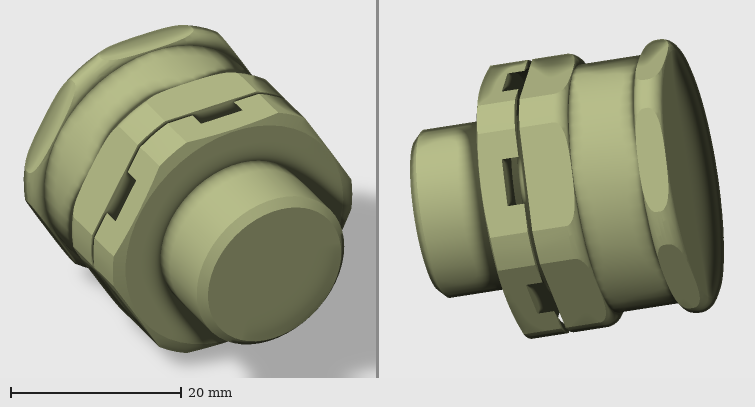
import cadquery as cq
import math

across_flats = 30.0
corner_dia = 32.47
barrel_dia = 29.5
corner_rounding = (corner_dia - barrel_dia) / 2

head_length = 3.4
barrel_end = 11.35

collar_end = 16.98
spigot_dia = 20.0
spigot_end = 32.0
spigot_chamfer = 0.97

nut_start = 17.55
nut_end = 22.55
nut_chamfer_length = 0.45
nut_chamfer_depth = corner_rounding
counterbore_dia = 30.52
counterbore_depth = 2.0

seal_dia = 25.4
seal_end = 18.48
seal_section_dia = (seal_dia - spigot_dia) / 2
seal_start = seal_end - seal_section_dia


def cylinder(diameter, start, end):
    return cq.Workplane("YZ").workplane(offset=start).circle(diameter / 2).extrude(end - start)


def hexagon(start, end):
    across_corners = across_flats / math.cos(math.pi / 6)
    return cq.Workplane("YZ").workplane(offset=start).polygon(6, across_corners).extrude(end - start)


def make_cap():
    turned_head = cylinder(corner_dia, 0, head_length).edges("%CIRCLE").fillet(corner_rounding)
    head = hexagon(0, head_length).intersect(turned_head)
    return head.union(cylinder(barrel_dia, head_length, barrel_end))


def make_fitting():
    turned_collar = cylinder(corner_dia, barrel_end, collar_end).faces("<X").edges().fillet(corner_rounding)
    collar = hexagon(barrel_end, collar_end).intersect(turned_collar)
    seal_recess = cylinder(seal_dia, seal_start, collar_end)
    spigot = cylinder(spigot_dia, seal_start, spigot_end).faces(">X").edges().chamfer(spigot_chamfer)
    return collar.cut(seal_recess).union(spigot)


def make_lock_nut():
    radius = corner_dia / 2
    turned_nut = (
        cq.Workplane("XY")
        .moveTo(nut_start, 0)
        .lineTo(nut_start, radius)
        .lineTo(nut_end - nut_chamfer_length, radius)
        .lineTo(nut_end, radius - nut_chamfer_depth)
        .lineTo(nut_end, 0)
        .close()
        .revolve(360, (0, 0, 0), (1, 0, 0))
    )
    counterbore = cylinder(counterbore_dia, nut_start, nut_start + counterbore_depth)
    bore = cylinder(spigot_dia, nut_start, nut_end)
    return hexagon(nut_start, nut_end).intersect(turned_nut).cut(counterbore).cut(bore)


def make_seal():
    section_center = ((seal_start + seal_end) / 2, (spigot_dia + seal_section_dia) / 2)
    section = cq.Workplane("XY").pushPoints([section_center]).circle(seal_section_dia / 2)
    return section.revolve(360, (0, 0, 0), (1, 0, 0))


cap = make_cap()
fitting = make_fitting()
lock_nut = make_lock_nut()
seal = make_seal()

result = cq.Compound.makeCompound([
    cap.solids().val(),
    fitting.solids().val(),
    lock_nut.solids().val(),
    seal.solids().val(),
])